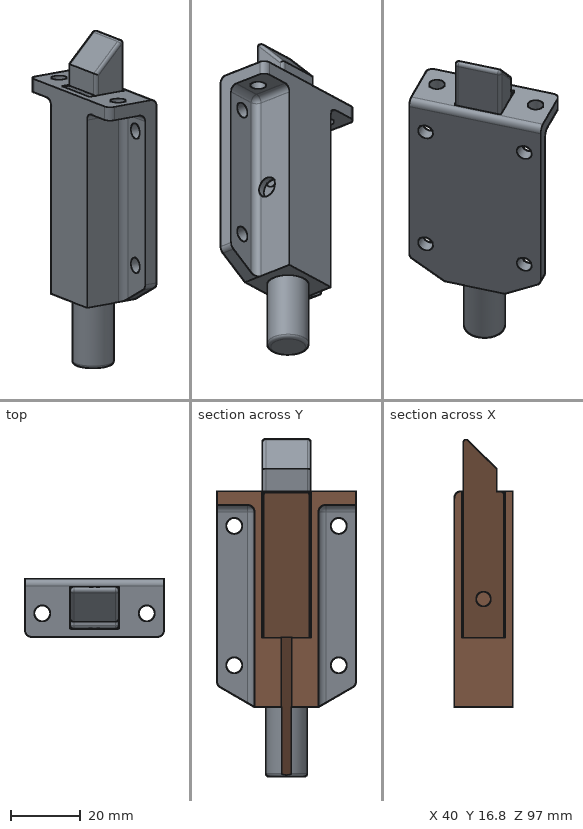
import cadquery as cq
import math

WIDTH = 40.0
DEPTH = 16.8
HEIGHT = 62.0
BLOCK_WIDTH = 18.4
PLATE_THICKNESS = 4.0
FLANGE_THICKNESS = 4.0
HOUSING_RADIUS = 2.0
LOWER_CORNER_ANGLE = 30.0

BACK_Y = DEPTH / 2
FRONT_Y = -DEPTH / 2
PLATE_FRONT_Y = BACK_Y - PLATE_THICKNESS
FLANGE_BOTTOM_Z = HEIGHT - FLANGE_THICKNESS
SIDE_STEP = (WIDTH - BLOCK_WIDTH) / 2
CORNER_RISE = SIDE_STEP * math.tan(math.radians(LOWER_CORNER_ANGLE))

SCREW_DIAMETER = 4.5
SCREW_SPACING = 30.0
PLATE_SCREW_Z = (12.0, 52.0)
FLANGE_SCREW_Y = BACK_Y - 10.0

BOLT_WIDTH = 14.0
BOLT_DEPTH = 12.0
BOLT_BOTTOM_Z = 20.0
BOLT_RADIUS = 1.0
BOLT_CLEARANCE = 0.1
POCKET_RADIUS = 0.5
NOSE_DEPTH = 10.0
NOSE_HEIGHT = 15.0

BOLT_BACK_Y = BOLT_DEPTH / 2
BOLT_FRONT_Y = -BOLT_DEPTH / 2
NOSE_FRONT_Y = BOLT_BACK_Y - NOSE_DEPTH
RIDGE_LOSS = BOLT_RADIUS * math.sqrt(2)
RIDGE_Z = HEIGHT + NOSE_HEIGHT + RIDGE_LOSS
BEVEL_START_Z = RIDGE_Z - NOSE_DEPTH

ROD_DIAMETER = 12.0
ROD_LENGTH_BELOW = 20.0
ROD_END_RADIUS = 1.0
PIN_DIAMETER = 4.0
PIN_Z = 31.0
ACCESS_DIAMETER = 6.0
ACCESS_Z = 28.0


def box(x_range, y_range, z_range):
    """Box spanning the given (low, high) ranges."""
    lengths = [high - low for low, high in (x_range, y_range, z_range)]
    corner = (x_range[0], y_range[0], z_range[0])
    return cq.Workplane("XY").box(*lengths, centered=False).translate(corner)


def cylinder_along_x(diameter, start_x, length, z):
    """Cylinder on the Y = 0 plane, running in +X from start_x."""
    return cq.Workplane("YZ", origin=(start_x, 0, z)).circle(diameter / 2).extrude(length)


def bolt_block(corner_radius, gap=0.0):
    """Block with rounded uprights, as wide and deep as the bolt plus a gap on every side."""
    half_width = BOLT_WIDTH / 2 + gap
    block = box(
        (-half_width, half_width),
        (BOLT_FRONT_Y - gap, BOLT_BACK_Y + gap),
        (BOLT_BOTTOM_Z, HEIGHT),
    )
    return block.edges("|Z").fillet(corner_radius)


def side_recess(side):
    """Open space beside the block, under the flange and in front of the plate."""
    inner_x = side * BLOCK_WIDTH / 2
    outer_x = side * WIDTH / 2
    recess = box(
        (min(inner_x, outer_x), max(inner_x, outer_x)),
        (FRONT_Y, PLATE_FRONT_Y),
        (0, FLANGE_BOTTOM_Z),
    )
    inner_face = "<X" if side > 0 else ">X"
    block_to_plate = recess.faces(inner_face).edges(">Y").vals()
    block_to_flange = recess.faces(inner_face).edges(">Z").vals()
    plate_to_flange = recess.faces(">Y").edges(">Z").vals()
    return recess.newObject(block_to_plate + block_to_flange + plate_to_flange).fillet(HOUSING_RADIUS)


def housing_blank():
    """Full-depth body with sloped, rounded lower corners and a rounded top back edge."""
    outline = [
        (-BLOCK_WIDTH / 2, 0),
        (BLOCK_WIDTH / 2, 0),
        (WIDTH / 2, CORNER_RISE),
        (WIDTH / 2, HEIGHT),
        (-WIDTH / 2, HEIGHT),
        (-WIDTH / 2, CORNER_RISE),
    ]
    blank = cq.Workplane("XZ", origin=(0, BACK_Y, 0)).polyline(outline).close().extrude(DEPTH)
    for side in (-1, 1):
        lower_corner = cq.selectors.NearestToPointSelector((side * WIDTH / 2, 0, CORNER_RISE))
        blank = blank.edges("|Y").edges(lower_corner).fillet(HOUSING_RADIUS)
    return blank.faces(">Z").edges(">Y").fillet(HOUSING_RADIUS)


def screw_holes():
    """Four holes through the plate and two through the flange."""
    half_spacing = SCREW_SPACING / 2
    plate_points = [(x, z) for x in (-half_spacing, half_spacing) for z in PLATE_SCREW_Z]
    flange_points = [(x, FLANGE_SCREW_Y) for x in (-half_spacing, half_spacing)]
    plate_holes = (
        cq.Workplane("XZ", origin=(0, BACK_Y, 0))
        .pushPoints(plate_points)
        .circle(SCREW_DIAMETER / 2)
        .extrude(PLATE_THICKNESS)
    )
    flange_holes = (
        cq.Workplane("XY", origin=(0, 0, FLANGE_BOTTOM_Z))
        .pushPoints(flange_points)
        .circle(SCREW_DIAMETER / 2)
        .extrude(FLANGE_THICKNESS)
    )
    return plate_holes, flange_holes


def make_housing():
    """Blank with its side recesses, rounded flange corners, holes and bolt pocket."""
    housing = housing_blank()
    for side in (-1, 1):
        housing = housing.cut(side_recess(side))
        flange_corner = cq.selectors.NearestToPointSelector((side * WIDTH / 2, FRONT_Y, HEIGHT))
        housing = housing.edges("|Z").edges(flange_corner).fillet(HOUSING_RADIUS)
    for holes in screw_holes():
        housing = housing.cut(holes)
    rod_bore = cq.Workplane("XY").circle(ROD_DIAMETER / 2).extrude(BOLT_BOTTOM_Z)
    access_hole = cylinder_along_x(ACCESS_DIAMETER, -WIDTH / 2, WIDTH / 2, ACCESS_Z)
    bolt_pocket = bolt_block(POCKET_RADIUS, BOLT_CLEARANCE)
    return housing.cut(bolt_pocket).cut(rod_bore).cut(access_hole)


def bolt_nose():
    """Wedge with a 45 degree bevel; its sides and ridge are rounded."""
    profile = [
        (NOSE_FRONT_Y, BOLT_BOTTOM_Z),
        (BOLT_BACK_Y, BOLT_BOTTOM_Z),
        (BOLT_BACK_Y, RIDGE_Z),
        (NOSE_FRONT_Y, BEVEL_START_Z),
    ]
    wedge = (
        cq.Workplane("YZ", origin=(-BOLT_WIDTH / 2, 0, 0))
        .polyline(profile)
        .close()
        .extrude(BOLT_WIDTH)
    )
    sides = wedge.edges("not(|X or |Y)").vals()
    ridge = wedge.edges("|X").edges(">Z").vals()
    return wedge.newObject(sides + ridge).fillet(BOLT_RADIUS)


def make_pin():
    """Cross pin through the bolt, flush with its sides."""
    return cylinder_along_x(PIN_DIAMETER, -BOLT_WIDTH / 2, BOLT_WIDTH, PIN_Z)


def make_bolt():
    """Base and nose in one piece, with a step in front of the nose and a hole for the pin."""
    base = bolt_block(BOLT_RADIUS).faces(">Z").edges("<Y").fillet(BOLT_RADIUS)
    return base.union(bolt_nose()).cut(make_pin())


def make_rod():
    """Round rod that ends against the bottom of the bolt."""
    rod = (
        cq.Workplane("XY", origin=(0, 0, -ROD_LENGTH_BELOW))
        .circle(ROD_DIAMETER / 2)
        .extrude(ROD_LENGTH_BELOW + BOLT_BOTTOM_Z)
    )
    return rod.faces("<Z").edges().fillet(ROD_END_RADIUS)


housing = make_housing()
bolt = make_bolt()
rod = make_rod()
pin = make_pin()

result = cq.Compound.makeCompound([housing.val(), bolt.val(), rod.val(), pin.val()])